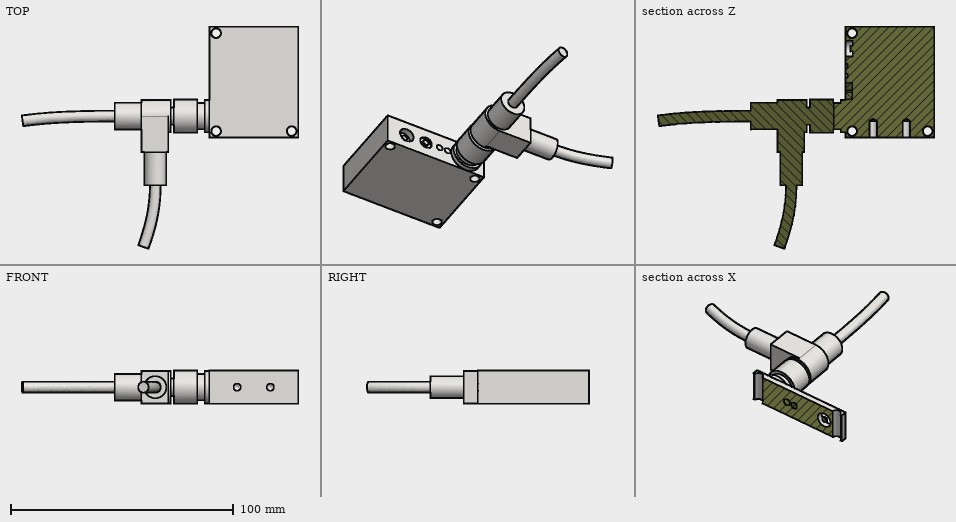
import cadquery as cq
import math


HOUSING_X = 40.0
HOUSING_Y = 50.0
HOUSING_Z = 15.0
AXIS_TO_EDGE = 9.7
HOUSING_Y_MIN = -AXIS_TO_EDGE
HOUSING_Y_MAX = HOUSING_Y_MIN + HOUSING_Y

MOUNT_HOLE_DIA = 4.2
MOUNT_HOLE_INSET = 3.0

SIDE_HOLE_DIA = 3.2
SIDE_HOLE_DEPTH = 7.5
SIDE_HOLE_XS = (12.5, 27.4)
DRILL_TIP_ANGLE = 118.0

ADJUSTER_RECESSES = (
    (10.0, 7.0, 3.2),
    (19.9, 6.0, 1.0),
)
ADJUSTER_PIN_DIA = 2.7
ADJUSTER_PIN_HEIGHT = 1.0

LAMP_DIA = 3.0
LAMP_LENGTH = 3.0
LAMP_FROM_EDGE = (27.0, 31.1)

FLANGE_DIA = 14.7
FLANGE_LENGTH = 2.2
SOCKET_NECK_DIA = 12.0
SOCKET_NECK_LENGTH = 3.2
SOCKET_LENGTH = FLANGE_LENGTH + SOCKET_NECK_LENGTH

NUT_DIA = HOUSING_Z
NUT_LENGTH = 10.6
PLUG_NECK_DIA = 8.0
PLUG_NECK_LENGTH = 1.4
TEE_DIA = 14.7
TEE_LENGTH = 13.2
TEE_BLOCK_X = 12.1
TEE_BLOCK_Y = 16.2
STRAIGHT_SLEEVE_DIA = 12.1
STRAIGHT_SLEEVE_LENGTH = 12.1
BRANCH_SLEEVE_DIA = 10.0
BRANCH_SLEEVE_LENGTH = 14.9
BRANCH_FROM_TEE_END = 6.2

CABLE_DIA = 5.0
STRAIGHT_CABLE_REACH = 41.5
STRAIGHT_CABLE_SAG = 2.1
STRAIGHT_CABLE_END_ANGLE = 8.0
BRANCH_CABLE_REACH = 27.8
BRANCH_CABLE_SAG = 5.4
BRANCH_CABLE_END_ANGLE = 19.5

NUT_FRONT_X = -SOCKET_LENGTH
NUT_BACK_X = NUT_FRONT_X - NUT_LENGTH
TEE_FRONT_X = NUT_BACK_X - PLUG_NECK_LENGTH
TEE_BACK_X = TEE_FRONT_X - TEE_LENGTH
STRAIGHT_SLEEVE_END_X = TEE_BACK_X - STRAIGHT_SLEEVE_LENGTH
BRANCH_X = TEE_BACK_X + BRANCH_FROM_TEE_END
BRANCH_SLEEVE_END_Y = -TEE_BLOCK_Y - BRANCH_SLEEVE_LENGTH


def rod_x(diameter, x_start, x_end, y=0.0):
    """Cylinder along X between two stations."""
    return (
        cq.Workplane("YZ", origin=(x_start, y, 0))
        .circle(diameter / 2)
        .extrude(x_end - x_start)
    )


def mounting_holes():
    """Three through holes; the corner at +X, +Y has none."""
    left = MOUNT_HOLE_INSET
    right = HOUSING_X - MOUNT_HOLE_INSET
    low = HOUSING_Y_MIN + MOUNT_HOLE_INSET
    high = HOUSING_Y_MAX - MOUNT_HOLE_INSET
    return (
        cq.Workplane("XY", origin=(0, 0, -HOUSING_Z / 2))
        .pushPoints([(left, low), (left, high), (right, low)])
        .circle(MOUNT_HOLE_DIA / 2)
        .extrude(HOUSING_Z)
    )


def side_hole(x):
    """Blind drilled hole in the -Y side, with a conical tip."""
    radius = SIDE_HOLE_DIA / 2
    tip = radius / math.tan(math.radians(DRILL_TIP_ANGLE / 2))
    return (
        cq.Workplane("XY", origin=(x, HOUSING_Y_MIN, 0))
        .polyline([(0, 0), (radius, 0), (radius, SIDE_HOLE_DEPTH), (0, SIDE_HOLE_DEPTH + tip)])
        .close()
        .revolve(360, (0, 0, 0), (0, 1, 0))
    )


def adjuster_recess(from_edge, diameter, depth):
    """Round recess in the connector face that leaves a pin standing on its floor."""
    y = HOUSING_Y_MAX - from_edge
    pin = rod_x(ADJUSTER_PIN_DIA, depth - ADJUSTER_PIN_HEIGHT, depth, y)
    return rod_x(diameter, 0, depth, y).cut(pin)


def make_lamp(from_edge):
    return rod_x(LAMP_DIA, 0, LAMP_LENGTH, HOUSING_Y_MAX - from_edge)


def make_housing(lamps):
    """Block with its holes, lamp seats and the socket that the connector screws onto."""
    housing = cq.Workplane("XY").box(HOUSING_X, HOUSING_Y, HOUSING_Z).translate(
        (HOUSING_X / 2, HOUSING_Y_MIN + HOUSING_Y / 2, 0)
    )
    housing = housing.cut(mounting_holes())
    for x in SIDE_HOLE_XS:
        housing = housing.cut(side_hole(x))
    for from_edge, diameter, depth in ADJUSTER_RECESSES:
        housing = housing.cut(adjuster_recess(from_edge, diameter, depth))
    for lamp in lamps:
        housing = housing.cut(lamp)
    flange = rod_x(FLANGE_DIA, -FLANGE_LENGTH, 0)
    neck = rod_x(SOCKET_NECK_DIA, -SOCKET_LENGTH, -FLANGE_LENGTH)
    return housing.union(flange).union(neck)


def make_cable(start, direction, reach, sag_direction, sag, end_angle):
    """Bent cable that starts along `direction`, ends `sag` off to the side and tilts by `end_angle`."""
    start = cq.Vector(*start)
    direction = cq.Vector(*direction)
    sag_direction = cq.Vector(*sag_direction)
    tilt = math.radians(end_angle)
    end = start + direction * reach + sag_direction * sag
    end_direction = direction * math.cos(tilt) + sag_direction * math.sin(tilt)
    path = cq.Workplane(cq.Edge.makeSpline([start, end], tangents=[direction, end_direction]))
    profile = cq.Workplane(cq.Plane(origin=start, xDir=(0, 0, 1), normal=direction))
    return profile.circle(CABLE_DIA / 2).sweep(path)


def make_tee():
    """Round body along X merged with a square block that carries the branch sleeve."""
    barrel = rod_x(TEE_DIA, TEE_BACK_X, TEE_FRONT_X)
    block = cq.Workplane("XY").box(TEE_BLOCK_X, TEE_BLOCK_Y, TEE_DIA).translate(
        (TEE_BACK_X + TEE_BLOCK_X / 2, -TEE_BLOCK_Y / 2, 0)
    )
    branch_sleeve = (
        cq.Workplane("XZ", origin=(BRANCH_X, -TEE_BLOCK_Y, 0))
        .circle(BRANCH_SLEEVE_DIA / 2)
        .extrude(BRANCH_SLEEVE_LENGTH)
    )
    straight_sleeve = rod_x(STRAIGHT_SLEEVE_DIA, STRAIGHT_SLEEVE_END_X, TEE_BACK_X)
    return barrel.union(block).union(branch_sleeve).union(straight_sleeve)


def make_connector():
    """T-connector with its coupling nut and two moulded-on cables."""
    nut = rod_x(NUT_DIA, NUT_BACK_X, NUT_FRONT_X)
    plug_neck = rod_x(PLUG_NECK_DIA, TEE_FRONT_X, NUT_BACK_X)
    straight_cable = make_cable(
        start=(STRAIGHT_SLEEVE_END_X, 0, 0),
        direction=(-1, 0, 0),
        reach=STRAIGHT_CABLE_REACH,
        sag_direction=(0, -1, 0),
        sag=STRAIGHT_CABLE_SAG,
        end_angle=STRAIGHT_CABLE_END_ANGLE,
    )
    branch_cable = make_cable(
        start=(BRANCH_X, BRANCH_SLEEVE_END_Y, 0),
        direction=(0, -1, 0),
        reach=BRANCH_CABLE_REACH,
        sag_direction=(-1, 0, 0),
        sag=BRANCH_CABLE_SAG,
        end_angle=BRANCH_CABLE_END_ANGLE,
    )
    return make_tee().union(plug_neck).union(nut).union(straight_cable).union(branch_cable)


lamps = [make_lamp(from_edge) for from_edge in LAMP_FROM_EDGE]
housing = make_housing(lamps)
connector = make_connector()

result = cq.Compound.makeCompound(
    [housing.val(), connector.val(), *[lamp.val() for lamp in lamps]]
)